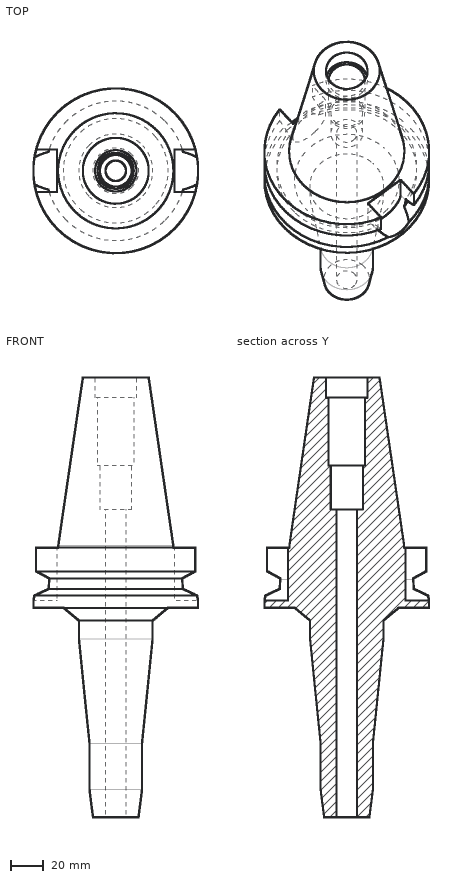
import cadquery as cq

total_height = 266.8
gauge_height = 165.0
flange_top = 163.5
groove_upper_edge = 149.1
groove_upper_floor = 145.0
groove_lower_floor = 138.5
groove_lower_edge = 134.5
flange_bottom = 127.0
neck_top = 119.3
neck_bottom = 108.0
nose_top = 44.8
tip_top = 16.8

taper_small_radius = 20.0
taper_large_radius = 35.0
flange_radius = 50.02
groove_radius = 42.5
flange_cone_radius = 31.7
neck_radius = 22.5
nose_radius = 16.0
tip_radius = 14.0

entry_radius = 12.5
entry_depth = 12.3
thread_radius = 11.0
thread_depth = 53.4
relief_radius = 9.5
relief_depth = 80.0
through_radius = 6.1

slot_width = 25.5
slot_floor_x = 35.8
slot_bottom = 131.5


def make_body():
    """Revolve the outer profile of taper, flange, neck and nose about Z."""
    profile = [
        (0, 0),
        (tip_radius, 0),
        (nose_radius, tip_top),
        (nose_radius, nose_top),
        (neck_radius, neck_bottom),
        (neck_radius, neck_top),
        (flange_cone_radius, flange_bottom),
        (flange_radius, flange_bottom),
        (flange_radius, groove_lower_edge),
        (groove_radius, groove_lower_floor),
        (groove_radius, groove_upper_floor),
        (flange_radius, groove_upper_edge),
        (flange_radius, flange_top),
        (taper_large_radius, flange_top),
        (taper_large_radius, gauge_height),
        (taper_small_radius, total_height),
        (0, total_height),
    ]
    return cq.Workplane("XZ").polyline(profile).close().revolve(360, (0, 0), (0, 1))


def make_bore():
    """Stack of coaxial cylinders that all open at the top face."""
    top = cq.Workplane("XY").workplane(offset=total_height)
    bore = top.circle(through_radius).extrude(-total_height)
    steps = [
        (entry_radius, entry_depth),
        (thread_radius, thread_depth),
        (relief_radius, relief_depth),
    ]
    for radius, depth in steps:
        bore = bore.union(top.circle(radius).extrude(-depth))
    return bore


def make_drive_slot(side):
    """Round-bottomed slot, open at the flange top; side is -1 or +1 along X."""
    half_width = slot_width / 2
    arc_height = slot_bottom + half_width
    return (
        cq.Workplane("YZ", origin=(side * slot_floor_x, 0, 0))
        .moveTo(-half_width, flange_top)
        .lineTo(-half_width, arc_height)
        .threePointArc((0, slot_bottom), (half_width, arc_height))
        .lineTo(half_width, flange_top)
        .close()
        .extrude(side * flange_radius)
    )


result = make_body().cut(make_bore())
for side in (-1, 1):
    result = result.cut(make_drive_slot(side))